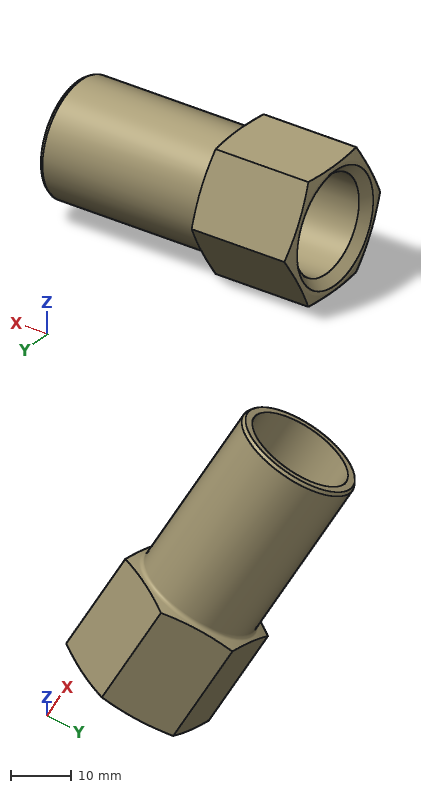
import cadquery as cq
import math

length = 52.0
hex_across_flats = 24.0
hex_across_corners = hex_across_flats / math.cos(math.radians(30))
tube_diameter = 22.0
bore_diameter = 18.6

hex_trim_angle = math.radians(15)
hex_face_diameter = 23.4
hex_back_corner_x = 19.3

neck_fillet = 0.75
tube_chamfer_length = 0.6
tube_chamfer_depth = 0.35
mouth_diameter = 22.0
mouth_half_angle = math.radians(45)

hex_radius = hex_across_corners / 2
tube_radius = tube_diameter / 2


def trim_depth(inner_radius):
    """Axial run of a hexagon trimming cone from inner_radius out to the corners."""
    return (hex_radius - inner_radius) * math.tan(hex_trim_angle)


def turned_envelope():
    """Revolved outer form: trimmed head, neck fillet and chamfered tube."""
    hex_front_corner_x = trim_depth(hex_face_diameter / 2)
    neck_x = hex_back_corner_x + trim_depth(tube_radius)

    turn = math.pi / 2 - hex_trim_angle
    tangent_length = neck_fillet * math.tan(turn / 2)
    fillet_end_x = neck_x + tangent_length
    fillet_start = (
        neck_x - tangent_length * math.sin(hex_trim_angle),
        tube_radius + tangent_length * math.cos(hex_trim_angle),
    )
    fillet_middle = (
        fillet_end_x - neck_fillet * math.sin(turn / 2),
        tube_radius + neck_fillet * (1 - math.cos(turn / 2)),
    )
    return (
        cq.Workplane("XY")
        .moveTo(0, 0)
        .lineTo(0, hex_face_diameter / 2)
        .lineTo(hex_front_corner_x, hex_radius)
        .lineTo(hex_back_corner_x, hex_radius)
        .lineTo(*fillet_start)
        .threePointArc(fillet_middle, (fillet_end_x, tube_radius))
        .lineTo(length - tube_chamfer_length, tube_radius)
        .lineTo(length, tube_radius - tube_chamfer_depth)
        .lineTo(length, 0)
        .close()
        .revolve(360, (0, 0, 0), (1, 0, 0))
    )


def hexagonal_stock():
    """Hexagonal bar with corners on the Y axis and flats facing up and down."""
    return cq.Workplane("YZ").polygon(6, hex_across_corners).extrude(length)


def bore():
    """Through bore with a conical mouth at the hexagon end."""
    mouth_radius = mouth_diameter / 2
    bore_radius = bore_diameter / 2
    mouth_depth = (mouth_radius - bore_radius) / math.tan(mouth_half_angle)
    return (
        cq.Workplane("XY")
        .moveTo(0, 0)
        .lineTo(0, mouth_radius)
        .lineTo(mouth_depth, bore_radius)
        .lineTo(length, bore_radius)
        .lineTo(length, 0)
        .close()
        .revolve(360, (0, 0, 0), (1, 0, 0))
    )


result = turned_envelope().intersect(hexagonal_stock()).cut(bore())